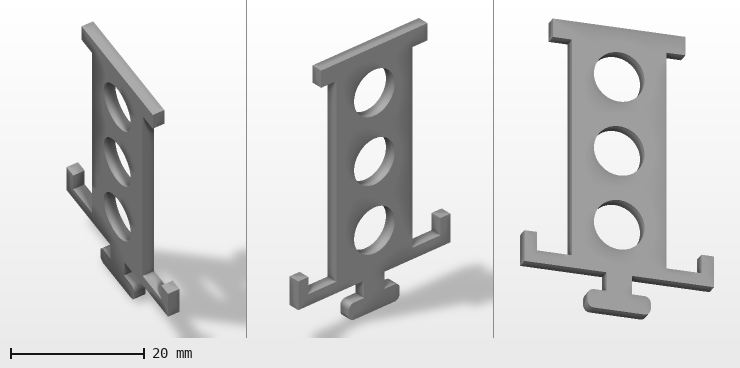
import cadquery as cq

thickness = 2.0
total_height = 46.0

foot_width = 10.0
foot_height = 3.0
foot_corner_radius = 1.0
stem_width = 4.0
stem_height = 3.0

arm_span = 30.0
arm_height = 2.0
hook_width = 2.0
hook_height = 5.0

body_width = 15.0
head_width = 21.0
head_height = 3.0

hole_diameter = 8.0
hole_count = 3
hole_pitch = 12.0
top_hole_drop = 8.0

arm_bottom = foot_height + stem_height
hook_centre_x = (arm_span - hook_width) / 2


def bar(width, bottom, top, centre_x=0.0):
    """Rectangular bar of plate thickness between two heights."""
    height = top - bottom
    return (
        cq.Workplane("XY")
        .box(width, thickness, height, centered=(True, True, False))
        .translate((centre_x, 0, bottom))
    )


def rounded_foot():
    return bar(foot_width, 0, foot_height).edges("|Y").fillet(foot_corner_radius)


def hole_row():
    """Cylinders that cut the round holes, from the top one down."""
    top_hole_z = total_height - top_hole_drop
    centres = [(0, top_hole_z - index * hole_pitch) for index in range(hole_count)]
    return (
        cq.Workplane("XZ", origin=(0, thickness / 2, 0))
        .pushPoints(centres)
        .circle(hole_diameter / 2)
        .extrude(thickness)
    )


plate = bar(body_width, arm_bottom, total_height)
plate = plate.union(bar(head_width, total_height - head_height, total_height))
plate = plate.union(bar(arm_span, arm_bottom, arm_bottom + arm_height))
for side in (-1, 1):
    plate = plate.union(bar(hook_width, arm_bottom, arm_bottom + hook_height, side * hook_centre_x))
plate = plate.union(bar(stem_width, 0, arm_bottom))
plate = plate.union(rounded_foot())

result = plate.cut(hole_row()).clean()